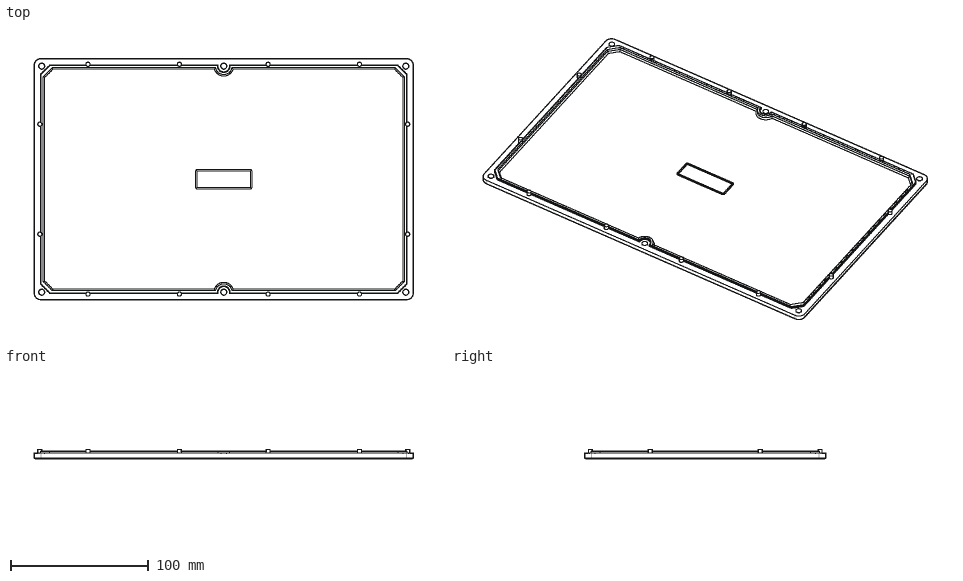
import cadquery as cq
import math

length = 275.0
width = 175.0
plate_thickness = 4.5
corner_radius = 5.0
bottom_chamfer = 0.8

hole_diameter = 4.0
hole_inset = 5.5

rim_inset = 4.7
rim_width = 2.0
rim_top = 5.8
rim_corner_cut = 6.5
rim_notch_radius = 4.0
rim_outer_chamfer = 0.4
rim_foot_chamfer = 1.0

floor_height = 2.8

post_diameter = 3.0
post_inset = 4.0
post_top = 7.2
long_side_post_offsets = (32.2, 98.5)
short_side_post_offset = 40.0

frame_length = 40.7
frame_width = 14.3
frame_line = 1.0
frame_corner_radius = 1.5
frame_height = 0.3

hole_x = length / 2 - hole_inset
hole_y = width / 2 - hole_inset


def rim_loop(offset, bottom, top):
    """Solid bounded by the rim outline, its sides and notches moved inward by offset."""
    half_x = length / 2 - rim_inset - offset
    half_y = width / 2 - rim_inset - offset
    notch = rim_notch_radius + offset
    notch_x = math.sqrt(notch**2 - (hole_y - half_y) ** 2)
    outline = cq.Workplane("XY").workplane(offset=bottom).moveTo(-half_x, half_y - rim_corner_cut)
    outline = outline.lineTo(-half_x + rim_corner_cut, half_y)
    outline = outline.lineTo(-notch_x, half_y)
    outline = outline.threePointArc((0, hole_y - notch), (notch_x, half_y))
    outline = outline.lineTo(half_x - rim_corner_cut, half_y)
    outline = outline.lineTo(half_x, half_y - rim_corner_cut).lineTo(half_x, -half_y + rim_corner_cut)
    outline = outline.lineTo(half_x - rim_corner_cut, -half_y)
    outline = outline.lineTo(notch_x, -half_y)
    outline = outline.threePointArc((0, notch - hole_y), (-notch_x, -half_y))
    outline = outline.lineTo(-half_x + rim_corner_cut, -half_y)
    outline = outline.lineTo(-half_x, -half_y + rim_corner_cut).close()
    return outline.extrude(top - bottom)


def make_plate():
    plate = cq.Workplane("XY").box(length, width, plate_thickness, centered=(True, True, False))
    return plate.edges("|Z").fillet(corner_radius).faces("<Z").edges().chamfer(bottom_chamfer)


def make_rim():
    rim = rim_loop(0, floor_height, rim_top)
    return rim.faces(">Z").edges().chamfer(rim_outer_chamfer)


def make_cavity():
    cavity = rim_loop(rim_width, floor_height, rim_top)
    return cavity.faces("<Z").edges().chamfer(rim_foot_chamfer)


def make_posts():
    side_x = length / 2 - post_inset
    side_y = width / 2 - post_inset
    points = []
    for side in (-1, 1):
        for direction in (-1, 1):
            points.append((side * side_x, direction * short_side_post_offset))
            for offset in long_side_post_offsets:
                points.append((direction * offset, side * side_y))
    posts = cq.Workplane("XY").workplane(offset=plate_thickness).pushPoints(points)
    return posts.circle(post_diameter / 2).extrude(post_top - plate_thickness)


def make_holes():
    points = [(x, y) for x in (-hole_x, 0, hole_x) for y in (-hole_y, hole_y)]
    return cq.Workplane("XY").pushPoints(points).circle(hole_diameter / 2).extrude(post_top)


def make_label_frame():
    bead = cq.Workplane("XY").workplane(offset=floor_height).rect(frame_length, frame_width)
    bead = bead.extrude(frame_height).edges("|Z").fillet(frame_corner_radius)
    opening = cq.Workplane("XY").workplane(offset=floor_height)
    opening = opening.rect(frame_length - 2 * frame_line, frame_width - 2 * frame_line)
    return bead.cut(opening.extrude(frame_height))


tray = make_plate().union(make_rim()).cut(make_cavity())
result = tray.union(make_posts()).union(make_label_frame()).cut(make_holes())